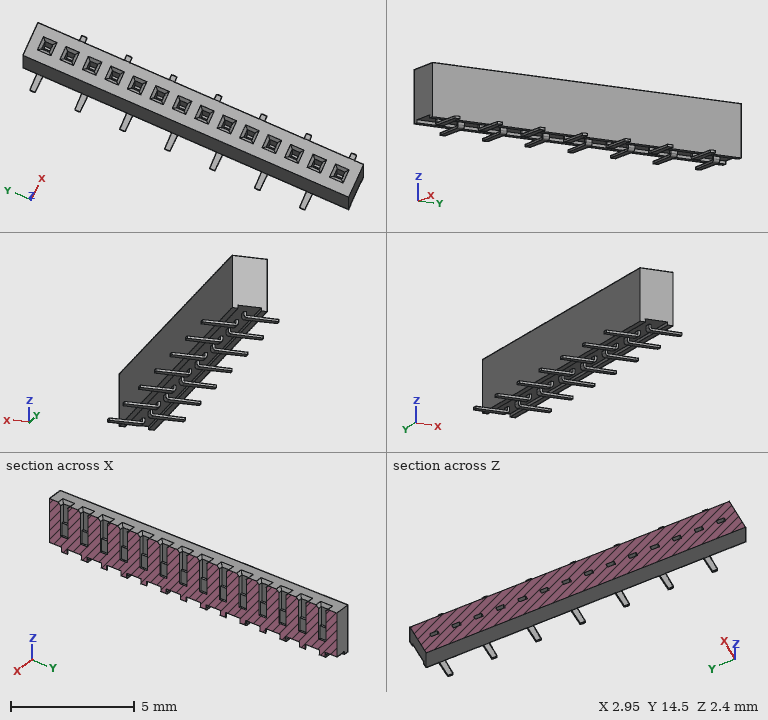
import cadquery as cq

CONTACT_COUNT = 14
PITCH = 1.0
OVERALL_HEIGHT = 2.4

BODY_WIDTH = 1.5
BODY_LENGTH = 14.5
BODY_BOTTOM = 0.13
RAIL_WIDTH = 0.25
RECESS_CEILING = 0.26

MOUTH_SIZE = 0.6
SOCKET_SIZE = 0.34
FUNNEL_DEPTH = (MOUTH_SIZE - SOCKET_SIZE) / 2
SOCKET_DEPTH = 1.0
SLOT_WIDTH = 0.14
SLOT_DEPTH = 1.6

LEAD_SPAN = 2.95
LEAD_THICKNESS = 0.1
TIP_WIDTH = 0.24
TIP_LENGTH = 0.15
TIP_CROWN = 0.015
ROOT_WIDTH = 0.3
BEND_INNER_RADIUS = 0.03
BEND_OUTER_RADIUS = BEND_INNER_RADIUS + LEAD_THICKNESS
BEND_END = LEAD_THICKNESS / 2 + BEND_INNER_RADIUS


def contact_positions():
    """Y of each contact, from the +Y end to the -Y end."""
    first = PITCH * (CONTACT_COUNT - 1) / 2
    return [first - PITCH * i for i in range(CONTACT_COUNT)]


def make_housing():
    """Rectangular bar with a lengthwise recess that leaves a rail along each bottom edge."""
    body = cq.Workplane("XY", origin=(0, 0, BODY_BOTTOM)).box(
        BODY_WIDTH, BODY_LENGTH, OVERALL_HEIGHT - BODY_BOTTOM, centered=(True, True, False)
    )
    recess = cq.Workplane("XY", origin=(0, 0, BODY_BOTTOM)).box(
        BODY_WIDTH - 2 * RAIL_WIDTH, BODY_LENGTH, RECESS_CEILING - BODY_BOTTOM, centered=(True, True, False)
    )
    return body.cut(recess)


def make_socket(y):
    """Square lead-in funnel, square socket below it, and a narrow slot between the contact leaves."""
    top = cq.Workplane("XY", origin=(0, y, OVERALL_HEIGHT))
    funnel = (
        top.rect(MOUTH_SIZE, MOUTH_SIZE)
        .workplane(offset=-FUNNEL_DEPTH)
        .rect(SOCKET_SIZE, SOCKET_SIZE)
        .loft(ruled=True)
    )
    socket = top.rect(SOCKET_SIZE, SOCKET_SIZE).extrude(-SOCKET_DEPTH)
    slot = top.rect(SLOT_WIDTH, SOCKET_SIZE).extrude(-SLOT_DEPTH)
    return funnel.union(socket).union(slot)


def make_foot():
    """Flat strip along +X that narrows to a straight tip with a slightly crowned end."""
    tip_x = LEAD_SPAN / 2
    corner_x = tip_x - TIP_CROWN
    taper_x = tip_x - TIP_LENGTH
    return (
        cq.Workplane("XY")
        .moveTo(BEND_END, -ROOT_WIDTH / 2)
        .lineTo(taper_x, -TIP_WIDTH / 2)
        .lineTo(corner_x, -TIP_WIDTH / 2)
        .threePointArc((tip_x, 0), (corner_x, TIP_WIDTH / 2))
        .lineTo(taper_x, TIP_WIDTH / 2)
        .lineTo(BEND_END, ROOT_WIDTH / 2)
        .close()
        .extrude(LEAD_THICKNESS)
    )


def make_stem():
    """Upright strip centred on X = 0 with a quarter-round bend toward +X at its lower end."""
    half_thickness = LEAD_THICKNESS / 2
    return (
        cq.Workplane("XZ", origin=(0, ROOT_WIDTH / 2, 0))
        .moveTo(-half_thickness, RECESS_CEILING)
        .lineTo(-half_thickness, BEND_OUTER_RADIUS)
        .radiusArc((BEND_END, 0), -BEND_OUTER_RADIUS)
        .lineTo(BEND_END, LEAD_THICKNESS)
        .radiusArc((half_thickness, BEND_OUTER_RADIUS), BEND_INNER_RADIUS)
        .lineTo(half_thickness, RECESS_CEILING)
        .close()
        .extrude(ROOT_WIDTH)
    )


right_lead = make_foot().union(make_stem())
left_lead = right_lead.mirror("YZ")

result = make_housing()
for index, contact_y in enumerate(contact_positions()):
    lead = left_lead if index % 2 == 0 else right_lead
    result = result.cut(make_socket(contact_y))
    result = result.union(lead.translate((0, contact_y, 0)))